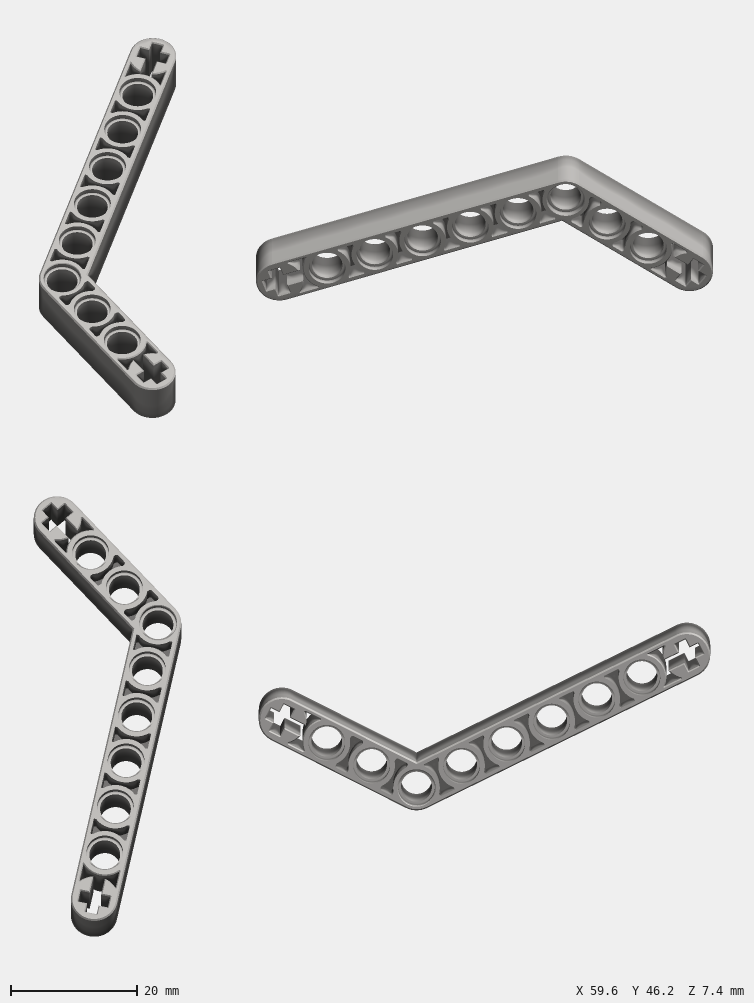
import cadquery as cq
import math

LONGEST_SIDE = 59.6
WIDTH = 7.4
HEIGHT = 7.4
EDGE_CHAMFER = 0.25

LONG_ARM_DIRECTION = 126.0
SHORT_ARM_DIRECTION = 0.0
LONG_ARM_STEPS = 6
SHORT_ARM_STEPS = 3
LONG_ARM_REACH_STEPS = -LONG_ARM_STEPS * math.cos(math.radians(LONG_ARM_DIRECTION))
PITCH = (LONGEST_SIDE - WIDTH) / (SHORT_ARM_STEPS + LONG_ARM_REACH_STEPS)

BORE_RADIUS = 2.45
COUNTERBORE_RADIUS = 2.9
COUNTERBORE_DEPTH = 0.9
SHARED_HOLE_RIM_CHAMFER = 0.1
BOSS_RADIUS = 3.7

POCKET_WIDTH = 5.85
LONG_ARM_POCKET_LENGTH = 2.6
LONG_ARM_POCKET_CORNER = 0.1
SHORT_ARM_POCKET_LENGTH = 2.15
SHORT_ARM_POCKET_CORNER = 0.35
WEB_THICKNESS = 0.7
POCKET_DEPTH = (HEIGHT - WEB_THICKNESS) / 2

CROSS_SPAN = 4.8
CROSS_WIDTH = 1.85
LONG_ARM_WINDOW_LENGTH = 3.6
SHORT_ARM_WINDOW_LENGTH = 2.7
WINDOW_WIDTH = 5.85
WINDOW_BOSS_RADIUS = 3.9
WINDOW_CORNER = 0.1
TIP_RIM_CHAMFER = 0.2


def turned(shape, direction):
    """Swing a shape modelled along +X onto an arm's direction."""
    return shape.rotate((0, 0, 0), (0, 0, 1), direction)


def block(length, width, height, x, z):
    """Box centred on the arm's axis at distance x, standing on level z."""
    box = cq.Workplane("XY").box(length, width, height, centered=(True, True, False))
    return box.translate((x, 0, z))


def cylinder(radius, height, x, z):
    """Upright cylinder on the arm's axis at distance x, standing on level z."""
    return cq.Workplane("XY").circle(radius).extrude(height).translate((x, 0, z))


def arm_body(steps):
    """Plain arm with round ends, along +X from the corner hole."""
    length = steps * PITCH
    return cq.Workplane("XY").center(length / 2, 0).slot2D(length + WIDTH, WIDTH).extrude(HEIGHT)


def round_hole(x):
    """Bore with a counterbore at both ends."""
    hole = cylinder(BORE_RADIUS, HEIGHT, x, 0)
    for z in (0, HEIGHT - COUNTERBORE_DEPTH):
        hole = hole.union(cylinder(COUNTERBORE_RADIUS, COUNTERBORE_DEPTH, x, z))
    return hole


def waisted(length, width, height, corner, boss_radius, x, z):
    """Rectangular void narrowed by the bosses of the two holes half a pitch away."""
    void = block(length, width, height, x, z).edges("|Z").fillet(corner)
    for boss_x in (x - PITCH / 2, x + PITCH / 2):
        void = void.cut(cylinder(boss_radius, height, boss_x, z))
    return void


def axle_cross(x):
    """Cross hole whose inner leg runs back to the window boss."""
    leg = (PITCH + CROSS_SPAN) / 2
    long_leg = block(leg, CROSS_WIDTH, HEIGHT, x + (CROSS_SPAN - leg) / 2, 0)
    long_leg = long_leg.cut(cylinder(WINDOW_BOSS_RADIUS, HEIGHT, x - PITCH, 0))
    return block(CROSS_WIDTH, CROSS_SPAN, HEIGHT, x, 0).union(long_leg)


def tip_cut(x, window_length):
    """Axle cross and window in one void, flared at both faces to chamfer the rim."""
    window = waisted(
        window_length, WINDOW_WIDTH, HEIGHT, WINDOW_CORNER, WINDOW_BOSS_RADIUS, x - PITCH / 2, 0
    )
    straight = axle_cross(x).union(window).clean()
    outline = straight.faces("<Z").wires().vals()
    flare = cq.Workplane("XY").add(outline).toPending().extrude(TIP_RIM_CHAMFER, taper=-45)
    upper = flare.translate((0, 0, HEIGHT - TIP_RIM_CHAMFER))
    lower = flare.mirror("XY").translate((0, 0, TIP_RIM_CHAMFER))
    return straight.union(upper).union(lower)


def cut_arm(body, steps, direction, pocket_length, pocket_corner, window_length):
    """Cut one arm's round holes, pockets and tip."""
    for step in range(steps):
        body = body.cut(turned(round_hole(step * PITCH), direction))
    for step in range(steps - 1):
        x = (step + 0.5) * PITCH
        for z in (0, HEIGHT - POCKET_DEPTH):
            pocket = waisted(pocket_length, POCKET_WIDTH, POCKET_DEPTH, pocket_corner, BOSS_RADIUS, x, z)
            body = body.cut(turned(pocket, direction))
    return body.cut(turned(tip_cut(steps * PITCH, window_length), direction))


def shared_hole_rim_cone():
    """Cone that chamfers the upper rim of the corner hole's counterbore."""
    rim = cq.Workplane("XY").circle(COUNTERBORE_RADIUS).extrude(SHARED_HOLE_RIM_CHAMFER, taper=-45)
    return rim.translate((0, 0, HEIGHT - SHARED_HOLE_RIM_CHAMFER))


result = arm_body(SHORT_ARM_STEPS).union(turned(arm_body(LONG_ARM_STEPS), LONG_ARM_DIRECTION))
result = result.faces("<Z or >Z").edges().chamfer(EDGE_CHAMFER)
result = cut_arm(
    result,
    SHORT_ARM_STEPS,
    SHORT_ARM_DIRECTION,
    SHORT_ARM_POCKET_LENGTH,
    SHORT_ARM_POCKET_CORNER,
    SHORT_ARM_WINDOW_LENGTH,
)
result = cut_arm(
    result,
    LONG_ARM_STEPS,
    LONG_ARM_DIRECTION,
    LONG_ARM_POCKET_LENGTH,
    LONG_ARM_POCKET_CORNER,
    LONG_ARM_WINDOW_LENGTH,
)
upper_rim = shared_hole_rim_cone()
lower_rim = upper_rim.mirror("XY", (0, 0, HEIGHT / 2))
result = result.cut(upper_rim).cut(lower_rim)